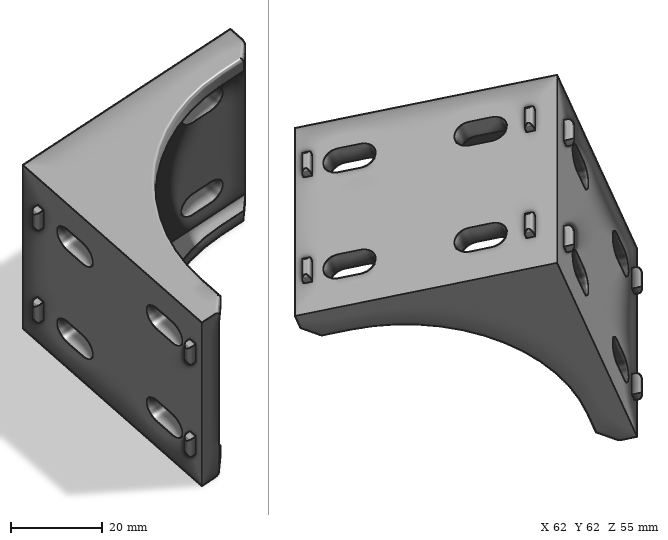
import cadquery as cq
import math

ARM_LENGTH = 60.0
HEIGHT = 55.0
ARM_THICKNESS = 8.5
TIP_BEVEL = 3.5
STRAIGHT_END = 10.0
EDGE_ROUND = 1.0

WALL_THICKNESS = 5.0
FLANGE_THICKNESS = 4.0

SLOT_LENGTH = 12.0
SLOT_WIDTH = 7.0
SLOT_POSITIONS = (17.5, 47.5)

TAB_WIDTH = 2.0
TAB_LENGTH = 6.0
TAB_DEPTH = 2.0
TAB_ROUND = 0.999
TAB_POSITIONS = (6.0, 57.0)

ROW_INSET = 12.0
ROWS = (ROW_INSET, HEIGHT - ROW_INSET)


def make_body():
    """Extrude the L outline with its concave arc and round the inner edges."""
    arc_start = ARM_LENGTH - STRAIGHT_END
    arc_radius = arc_start - ARM_THICKNESS
    arc_middle = arc_start - arc_radius * math.sqrt(0.5)
    bevel_start = ARM_LENGTH - TIP_BEVEL
    tip_thickness = ARM_THICKNESS - TIP_BEVEL
    body = (
        cq.Workplane("XY")
        .lineTo(ARM_LENGTH, 0)
        .lineTo(ARM_LENGTH, tip_thickness)
        .lineTo(bevel_start, ARM_THICKNESS)
        .lineTo(arc_start, ARM_THICKNESS)
        .threePointArc((arc_middle, arc_middle), (ARM_THICKNESS, arc_start))
        .lineTo(ARM_THICKNESS, bevel_start)
        .lineTo(tip_thickness, ARM_LENGTH)
        .lineTo(0, ARM_LENGTH)
        .close()
        .extrude(HEIGHT)
    )
    inner_side = cq.selectors.BoxSelector(
        (tip_thickness, tip_thickness, -EDGE_ROUND),
        (ARM_LENGTH, ARM_LENGTH, HEIGHT + EDGE_ROUND),
    )
    return body.faces("<Z or >Z").edges(inner_side).fillet(EDGE_ROUND)


def make_cavity():
    """Space between the two flanges, open toward the inside and at the arm tips."""
    return (
        cq.Workplane("XY")
        .box(ARM_LENGTH, ARM_LENGTH, HEIGHT - 2 * FLANGE_THICKNESS, centered=False)
        .translate((WALL_THICKNESS, WALL_THICKNESS, FLANGE_THICKNESS))
    )


def row_points(positions):
    """Points at the given positions along an arm, repeated in both rows."""
    return [(position, row) for position in positions for row in ROWS]


def make_slots():
    """Cutters for the slots through the wall along X."""
    centers = row_points(SLOT_POSITIONS)
    return (
        cq.Workplane("XZ")
        .pushPoints(centers)
        .slot2D(SLOT_LENGTH, SLOT_WIDTH)
        .extrude(-WALL_THICKNESS)
    )


def make_tabs():
    """Tabs on the -Y face, their tip edges rounded on all four sides."""
    centers = row_points(TAB_POSITIONS)
    return (
        cq.Workplane("XZ")
        .pushPoints(centers)
        .rect(TAB_WIDTH, TAB_LENGTH)
        .extrude(TAB_DEPTH)
        .faces("<Y")
        .edges()
        .fillet(TAB_ROUND)
    )


def onto_other_arm(shape):
    """Mirror a shape across the plane x = y, from one arm to the other."""
    return shape.mirror(cq.Vector(1, -1, 0))


slots = make_slots()
tabs = make_tabs()
result = (
    make_body()
    .cut(make_cavity())
    .cut(slots)
    .cut(onto_other_arm(slots))
    .union(tabs)
    .union(onto_other_arm(tabs))
)